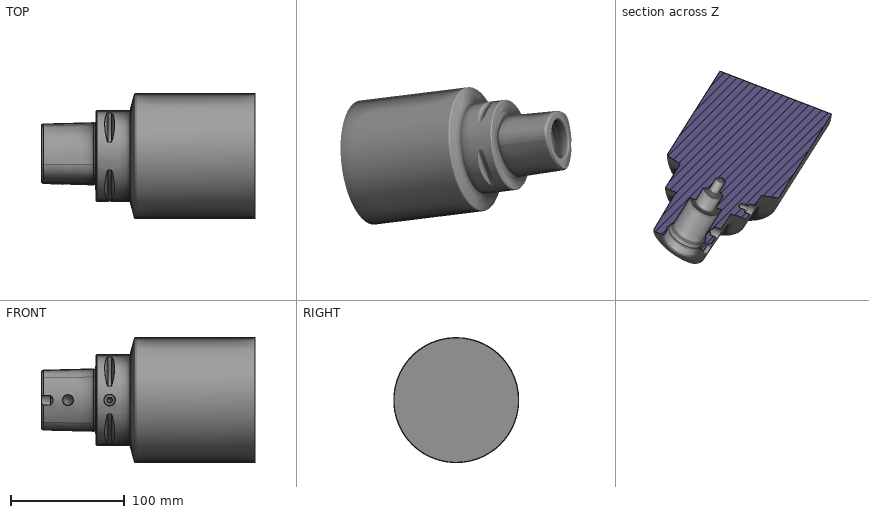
import math

import cadquery as cq


clearance = 1.0

body_radius = 55.0
body_end_x = 140.0
shoulder_angle = 15.0
shoulder_fillet = 1.5
flange_radius = 40.0
flange_length = 30.0
flange_chamfer = 0.7

shank_length = 48.0
lobe_centre_radius = 15.0
lobe_radius_at_flange = 14.5
taper_slope = 1 / 40
lobe_angles = (0, 120, 240)
lobe_half_angle = 30
nose_chamfer_length = 1.8
nose_chamfer_depth = 1.1
relief_start_x = -2.0
relief_end_x = -0.5
relief_depth = 1.0

collar_top_radius = 28.4
collar_base_radius = 30.4

bore_mouth_radius = 18.3
bore_mouth_chamfer = 1.0
ring_groove_start_depth = 7.8
ring_groove_end_depth = 10.5
ring_groove_radius = 18.6
bore_neck_start_depth = 13.9
bore_neck_radius = 15.4
bore_floor_x = 0.0
pilot_radius = 9.6
pilot_chamfer = 0.7
pilot_end_x = 15.0
core_radius = 4.6
core_end_x = 30.0
drill_tip_slope = math.tan(math.radians(30))

groove_centre_x = 12.0
groove_floor_width = 3.2
groove_root_chamfer = 0.55
groove_floor_distance = 35.6
groove_flank_angle = 30.0
groove_angles = (45, 135, 225, 315)

port_radius = 5.0
port_floor_y = -34.6
port_drill_radius = 2.4
port_drill_depth = 6.0
dimple_centre_x = -24.6
dimple_radius = 4.75
dimple_floor_y = -19.5
keyway_radius = 5.0
keyway_bottom_y = -21.9
keyway_straight_length = 7.8
keyway_end_length = 2.6


def revolve_about_x(profile):
    """Turn a closed list of (x, radius) points about the X axis."""
    return cq.Workplane("XY").polyline(profile).close().revolve(360, (0, 0, 0), (1, 0, 0))


def lobed_section(x, inset=0.0):
    """Wire of constant width made of three lobe arcs and three flat arcs, tangent to each other."""
    small = lobe_radius_at_flange + taper_slope * x - inset
    large = small + math.sqrt(3) * lobe_centre_radius

    def lobe_point(lobe_angle, normal_angle):
        lobe = math.radians(lobe_angle)
        normal = math.radians(normal_angle)
        return (
            lobe_centre_radius * math.cos(lobe) + small * math.cos(normal),
            lobe_centre_radius * math.sin(lobe) + small * math.sin(normal),
        )

    flat_distance = large - lobe_centre_radius
    section = cq.Workplane("YZ", origin=(x, 0, 0)).moveTo(*lobe_point(0, -lobe_half_angle))
    for angle in lobe_angles:
        next_angle = angle + 360 / len(lobe_angles)
        flat_angle = math.radians((angle + next_angle) / 2)
        flat_middle = (flat_distance * math.cos(flat_angle), flat_distance * math.sin(flat_angle))
        section = section.threePointArc(
            lobe_point(angle, angle), lobe_point(angle, angle + lobe_half_angle)
        )
        section = section.threePointArc(
            flat_middle, lobe_point(next_angle, next_angle - lobe_half_angle)
        )
    return section.wire().val()


def make_body():
    shoulder_length = (body_radius - flange_radius) * math.tan(math.radians(shoulder_angle))
    shoulder_x = flange_length + shoulder_length
    body = revolve_about_x([
        (flange_length, 0),
        (flange_length, flange_radius),
        (shoulder_x, body_radius),
        (body_end_x, body_radius),
        (body_end_x, 0),
    ])
    reach = body_radius + clearance
    shoulder_edge = cq.selectors.BoxSelector(
        (shoulder_x - clearance, -reach, -reach),
        (shoulder_x + clearance, reach, reach),
        boundingbox=True,
    )
    return body.edges(shoulder_edge).fillet(shoulder_fillet)


def make_flange():
    flange = cq.Workplane("YZ").circle(flange_radius).extrude(flange_length)
    return flange.faces("<X").edges().chamfer(flange_chamfer)


def make_shank():
    nose_x = -shank_length
    sections = [
        lobed_section(nose_x, nose_chamfer_depth),
        lobed_section(nose_x + nose_chamfer_length),
        lobed_section(relief_start_x),
        lobed_section(relief_end_x, relief_depth),
    ]
    shank = cq.Workplane(cq.Solid.makeLoft(sections, True))
    collar = revolve_about_x([
        (relief_end_x, 0),
        (relief_end_x, collar_top_radius),
        (0, collar_base_radius),
        (0, 0),
    ])
    return shank.union(collar)


def make_bore():
    mouth_x = -shank_length
    entry_radius = bore_mouth_radius - bore_mouth_chamfer
    groove_start_x = mouth_x + ring_groove_start_depth
    groove_end_x = mouth_x + ring_groove_end_depth
    neck_start_x = mouth_x + bore_neck_start_depth
    return revolve_about_x([
        (mouth_x, 0),
        (mouth_x, bore_mouth_radius),
        (mouth_x + bore_mouth_chamfer, entry_radius),
        (groove_start_x, entry_radius),
        (groove_start_x, ring_groove_radius),
        (groove_end_x, ring_groove_radius),
        (groove_end_x, entry_radius),
        (neck_start_x, entry_radius),
        (neck_start_x + entry_radius - bore_neck_radius, bore_neck_radius),
        (bore_floor_x, bore_neck_radius),
        (bore_floor_x, pilot_radius + pilot_chamfer),
        (bore_floor_x + pilot_chamfer, pilot_radius),
        (pilot_end_x, pilot_radius),
        (pilot_end_x + (pilot_radius - core_radius) * drill_tip_slope, core_radius),
        (core_end_x, core_radius),
        (core_end_x + core_radius * drill_tip_slope, 0),
    ])


def make_groove(angle):
    """Straight flat-floored groove across the flange rim, with chamfered roots and sloping flanks."""
    flank_start = groove_floor_distance + groove_root_chamfer
    flank_height = flange_radius + clearance - flank_start
    half_floor = groove_floor_width / 2
    half_root = half_floor + groove_root_chamfer
    half_top = half_root + flank_height * math.tan(math.radians(groove_flank_angle))
    top_distance = flank_start + flank_height
    groove = (
        cq.Workplane("XY")
        .polyline([
            (groove_centre_x - half_floor, groove_floor_distance),
            (groove_centre_x + half_floor, groove_floor_distance),
            (groove_centre_x + half_root, flank_start),
            (groove_centre_x + half_top, top_distance),
            (groove_centre_x - half_top, top_distance),
            (groove_centre_x - half_root, flank_start),
        ])
        .close()
        .extrude(flange_radius, both=True)
    )
    return groove.rotate((0, 0, 0), (1, 0, 0), angle)


def drill_from_front(x, radius, start_y, floor_y, tip_length):
    """Hole along +Y with a conical tip below its floor."""
    return (
        cq.Workplane("XY")
        .polyline([
            (x, start_y),
            (x + radius, start_y),
            (x + radius, floor_y),
            (x, floor_y + tip_length),
        ])
        .close()
        .revolve(360, (x, 0, 0), (x, 1, 0))
    )


def make_port():
    rim = cq.Workplane("XZ", origin=(groove_centre_x, -flange_radius, 0))
    counterbore = rim.circle(port_radius).extrude(-(port_floor_y + flange_radius))
    drill = drill_from_front(
        groove_centre_x,
        port_drill_radius,
        port_floor_y,
        port_floor_y + port_drill_depth,
        port_drill_radius * drill_tip_slope,
    )
    return counterbore.union(drill)


def make_dimple():
    return drill_from_front(
        dimple_centre_x, dimple_radius, -flange_radius, dimple_floor_y, dimple_radius * drill_tip_slope
    )


def make_keyway():
    """Shallow round-bottomed keyway along X, open at the nose, with a 45 degree conical inner end."""
    straight_end_x = -shank_length + keyway_straight_length
    keyway = revolve_about_x([
        (-shank_length, 0),
        (-shank_length, keyway_radius),
        (straight_end_x, keyway_radius),
        (straight_end_x + keyway_end_length, keyway_radius - keyway_end_length),
        (straight_end_x + keyway_end_length, 0),
    ])
    return keyway.translate((0, keyway_bottom_y - keyway_radius, 0))


result = make_body().union(make_flange()).union(make_shank()).cut(make_bore())
for groove_angle in groove_angles:
    result = result.cut(make_groove(groove_angle))
result = result.cut(make_port()).cut(make_dimple()).cut(make_keyway())